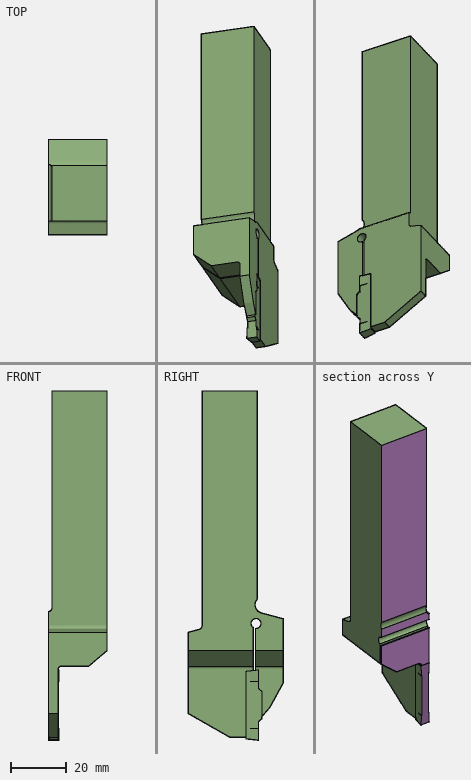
import cadquery as cq
import math

shank_size = 19.8
overall_length = 125.0

head_front_y = -5.0
head_back_y = 29.1
shoulder_slope = math.radians(15)
front_corner_z = 40.0
front_fillet_radius = 1.5
back_shoulder_z = 43.5
back_relief_radius = 3.0
back_relief_depth = 0.8
nose_z = 1.1
nose_end_y = 9.9
front_bevel_top_z = 9.6
jaw_bevel_top_z = 20.6
jaw_kink_y = 24.3
jaw_kink_z = 11.8
jaw_tip_z = 8.4

blade_offset = 1.2
blade_thickness = 3.55
side_step_z = 46.1
blade_root_z = 26.45
blade_root_radius = 1.0
heel_start_x = 13.15
heel_top_z = 32.1

slit_hole_radius = 1.75
slit_hole_y = 19.3
slit_hole_z = 41.8
slit_y = 18.7
slit_width = 0.75

insert_length = 25.2
insert_seat_y = 15.7
insert_rake_y = 20.2
insert_crown_y = 21.35
insert_crown_half_length = 4.9
insert_shoulder_half_length = 5.95
end_relief = 0.5
cutting_width = 3.85
insert_body_width = 3.15
tip_overhang = 0.04
tip_length = 4.2
tip_foot_inner_y = 17.3
tip_foot_outer_y = 16.1

insert_half_length = insert_length / 2
insert_mid_z = insert_half_length
cutting_half_width = cutting_width / 2
body_half_width = insert_body_width / 2
insert_mid_x = -blade_offset - tip_overhang + cutting_half_width


def side_profile():
    """Silhouette of the holder in the YZ plane, extruded across its full width."""
    slope_sin = math.sin(shoulder_slope)
    slope_cos = math.cos(shoulder_slope)
    slope_tan = math.tan(shoulder_slope)

    front_tangent = front_fillet_radius * math.tan(math.pi / 4 - shoulder_slope / 2)
    front_top = (0, front_corner_z + front_tangent)
    front_end = (-front_tangent * slope_cos, front_corner_z - front_tangent * slope_sin)
    front_center = (-front_fillet_radius, front_top[1])
    front_mid_angle = -(math.pi / 2 - shoulder_slope) / 2
    front_mid = (
        front_center[0] + front_fillet_radius * math.cos(front_mid_angle),
        front_center[1] + front_fillet_radius * math.sin(front_mid_angle),
    )
    front_shoulder_z = front_corner_z + head_front_y * slope_tan

    relief_y = shank_size - back_relief_depth + back_relief_radius
    relief_end_y = relief_y - back_relief_radius * slope_sin
    relief_end_z = back_shoulder_z + (head_back_y - relief_end_y) * slope_tan
    relief_z = relief_end_z + back_relief_radius * slope_cos
    relief_rise = math.sqrt(back_relief_radius**2 - (relief_y - shank_size) ** 2)

    return (
        cq.Workplane("YZ", origin=(-blade_offset, 0, 0))
        .moveTo(0, overall_length)
        .lineTo(*front_top)
        .threePointArc(front_mid, front_end)
        .lineTo(head_front_y, front_shoulder_z)
        .lineTo(head_front_y, front_bevel_top_z)
        .lineTo(nose_end_y, nose_z)
        .lineTo(insert_seat_y, nose_z)
        .lineTo(insert_crown_y, jaw_tip_z)
        .lineTo(jaw_kink_y, jaw_kink_z)
        .lineTo(head_back_y, jaw_bevel_top_z)
        .lineTo(head_back_y, back_shoulder_z)
        .lineTo(relief_end_y, relief_end_z)
        .threePointArc(
            (relief_y - back_relief_radius, relief_z),
            (shank_size, relief_z + relief_rise),
        )
        .lineTo(shank_size, overall_length)
        .close()
        .extrude(shank_size + blade_offset)
    )


def front_profile():
    """Silhouette of the holder in the XZ plane, extruded across its full depth."""
    blade_inner_x = blade_thickness - blade_offset
    return (
        cq.Workplane("XZ", origin=(0, head_back_y, 0))
        .moveTo(-blade_offset, 0)
        .lineTo(-blade_offset, side_step_z)
        .radiusArc((0, side_step_z + blade_offset), -blade_offset)
        .lineTo(0, overall_length)
        .lineTo(shank_size, overall_length)
        .lineTo(shank_size, heel_top_z)
        .lineTo(heel_start_x, blade_root_z)
        .lineTo(blade_inner_x + blade_root_radius, blade_root_z)
        .radiusArc((blade_inner_x, blade_root_z - blade_root_radius), -blade_root_radius)
        .lineTo(blade_inner_x, 0)
        .close()
        .extrude(head_back_y - head_front_y)
    )


def insert_prism(start_x, width):
    """Insert outline in the YZ plane, symmetric about its mid-length."""
    upper_half = [
        (insert_seat_y, insert_half_length - end_relief),
        (insert_rake_y, insert_half_length),
        (insert_rake_y, insert_shoulder_half_length),
        (insert_crown_y, insert_crown_half_length),
    ]
    lower_half = [(y, -z) for y, z in reversed(upper_half)]
    return (
        cq.Workplane("YZ", origin=(start_x, 0, insert_mid_z))
        .polyline(upper_half + lower_half)
        .close()
        .extrude(width)
    )


def tip_flank():
    """Wedge on the +X side of the upper tip, widest at the cutting corner.

    Coordinates are relative to the insert's middle in X and Z.
    """
    relief_slope = end_relief / (insert_rake_y - insert_seat_y)
    foot_z = insert_half_length - tip_length
    outer_foot_z = insert_half_length - relief_slope * (insert_rake_y - tip_foot_outer_y)

    foot_dy = tip_foot_outer_y - tip_foot_inner_y
    foot_dz = outer_foot_z - foot_z

    def distance_from_foot(y, z):
        return (y - tip_foot_inner_y) * foot_dz - (z - foot_z) * foot_dy

    corner_height = cutting_half_width - body_half_width
    heel_height = (
        corner_height
        * distance_from_foot(insert_rake_y, foot_z)
        / distance_from_foot(insert_rake_y, insert_half_length)
    )

    inner = cq.Vector(body_half_width, tip_foot_inner_y, foot_z)
    outer = cq.Vector(body_half_width, tip_foot_outer_y, outer_foot_z)
    heel = cq.Vector(body_half_width, insert_rake_y, foot_z)
    corner = cq.Vector(body_half_width, insert_rake_y, insert_half_length)
    heel_top = heel + cq.Vector(heel_height, 0, 0)
    corner_top = corner + cq.Vector(corner_height, 0, 0)

    loops = [
        [inner, outer, corner, heel],
        [inner, outer, corner_top, heel_top],
        [inner, heel, heel_top],
        [outer, corner, corner_top],
        [heel, corner, corner_top, heel_top],
    ]
    faces = [cq.Face.makeFromWires(cq.Wire.makePolygon(loop, close=True)) for loop in loops]
    return cq.Workplane(cq.Solid.makeSolid(cq.Shell.makeShell(faces)))


def make_holder():
    holder = side_profile().intersect(front_profile())
    pocket = insert_prism(-blade_offset, blade_thickness)
    slit_hole = (
        cq.Workplane("YZ", origin=(-blade_offset, slit_hole_y, slit_hole_z))
        .circle(slit_hole_radius)
        .extrude(shank_size + blade_offset)
    )
    slit = cq.Workplane("XY").box(
        shank_size + blade_offset,
        slit_width,
        slit_hole_z - insert_mid_z,
        centered=(False, True, False),
    )
    slit = slit.translate((-blade_offset, slit_y, insert_mid_z))
    return holder.cut(pocket).cut(slit_hole).cut(slit)


def make_insert():
    insert = insert_prism(insert_mid_x - body_half_width, insert_body_width)
    right_flank = tip_flank()
    upper_flanks = [right_flank, right_flank.mirror("YZ")]
    lower_flanks = [flank.mirror("XY") for flank in upper_flanks]
    for flank in upper_flanks + lower_flanks:
        insert = insert.union(flank.translate((insert_mid_x, 0, insert_mid_z)))
    return insert


holder = make_holder()
cutting_insert = make_insert()
result = cq.Compound.makeCompound([holder.val(), cutting_insert.val()])